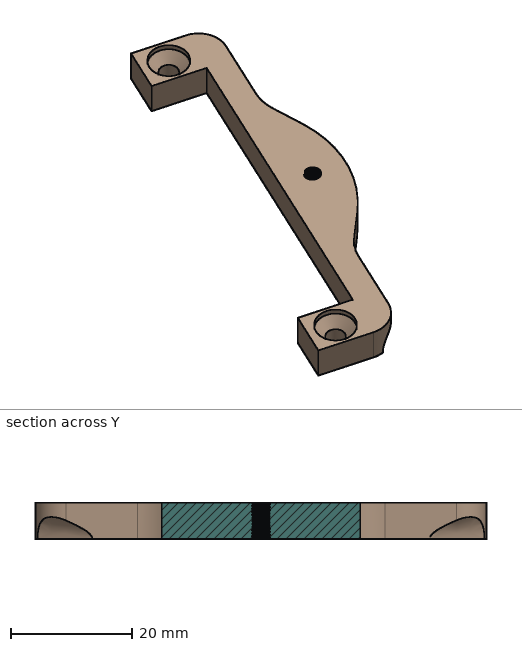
import cadquery as cq
import math

length = 74.4
thickness = 6.0
leg_width = 8.2
leg_length = 10.0
bar_width = 5.0
corner_radius = bar_width

crest_rise = 7.0
crest_radius = 22.0
flare_radius = 8.55
flare_start = 20.4

center_hole_diameter = 2.6
center_hole_below_crest = 6.0
thread_diameter = 3.0
thread_pitch = 0.5
thread_groove_width = 0.4
thread_overlap = 0.1

screw_diameter = 3.4
head_diameter = 7.1
head_recess = 1.0
cone_depth = (head_diameter - screw_diameter) / 2
leg_hole_from_end = 5.0

relief_axis_behind_bar = 2.45
relief_radius = 5.65
relief_slope = 0.34

half_length = length / 2
bar_back = leg_length + bar_width
crest_back = bar_back + crest_rise
leg_hole_x = half_length - leg_width / 2


def arc_point(center, radius, angle):
    """Point on a circle, with the angle measured from +Y toward +X."""
    return (center[0] + radius * math.sin(angle), center[1] + radius * math.cos(angle))


def mirrored(point):
    """Same point on the -X side."""
    return (-point[0], point[1])


def bracket():
    """Flat bracket, symmetric about X = 0, whose back edge swells into a smooth crest."""
    crest_center = (0, crest_back - crest_radius)
    flare_center = (flare_start, bar_back + flare_radius)
    rise = flare_center[1] - crest_center[1]
    centers_angle = math.atan2(flare_start, rise)
    centers_distance = math.hypot(flare_start, rise)
    slope = centers_angle - math.acos((crest_radius + flare_radius) / centers_distance)

    flank_top = arc_point(crest_center, crest_radius, slope)
    flank_bottom = arc_point(flare_center, -flare_radius, slope)
    flare_middle = arc_point(flare_center, -flare_radius, slope / 2)
    flare_end = (flare_start, bar_back)
    corner_center = (half_length - corner_radius, bar_back - corner_radius)
    corner_start = (corner_center[0], bar_back)
    corner_middle = arc_point(corner_center, corner_radius, math.pi / 4)
    corner_end = (half_length, corner_center[1])
    inner_x = half_length - leg_width
    return (
        cq.Workplane("XY")
        .moveTo(-inner_x, leg_length)
        .lineTo(inner_x, leg_length)
        .lineTo(inner_x, 0)
        .lineTo(half_length, 0)
        .lineTo(*corner_end)
        .threePointArc(corner_middle, corner_start)
        .lineTo(*flare_end)
        .threePointArc(flare_middle, flank_bottom)
        .lineTo(*flank_top)
        .threePointArc((0, crest_back), mirrored(flank_top))
        .lineTo(*mirrored(flank_bottom))
        .threePointArc(mirrored(flare_middle), mirrored(flare_end))
        .lineTo(*mirrored(corner_start))
        .threePointArc(mirrored(corner_middle), mirrored(corner_end))
        .lineTo(-half_length, 0)
        .lineTo(-inner_x, 0)
        .close()
        .extrude(thickness)
    )


def thread_groove():
    """V-shaped helical groove around the Z axis, running out past both faces of the bracket."""
    hole_radius = center_hole_diameter / 2
    start_z = -thread_pitch
    helix_height = thickness + 2 * thread_pitch
    helix = cq.Wire.makeHelix(thread_pitch, helix_height, hole_radius, center=cq.Vector(0, 0, start_z))
    half_width = thread_groove_width / 2
    mouth = hole_radius - thread_overlap
    profile = [
        (mouth, start_z - half_width),
        (thread_diameter / 2, start_z),
        (mouth, start_z + half_width),
    ]
    return cq.Workplane("XZ").polyline(profile).close().sweep(cq.Workplane(helix), isFrenet=True)


def cut_threaded_hole(body):
    """Cut the thread groove first and then the plain bore through its middle."""
    position = (0, crest_back - center_hole_below_crest, 0)
    bore = cq.Workplane("XY").circle(center_hole_diameter / 2).extrude(thickness)
    return body.cut(thread_groove().translate(position)).cut(bore.translate(position))


def leg_hole(side):
    """Through hole with a conical seat below a short cylindrical recess."""
    screw_radius = screw_diameter / 2
    head_radius = head_diameter / 2
    seat_top = thickness - head_recess
    profile = [
        (0, 0),
        (screw_radius, 0),
        (screw_radius, seat_top - cone_depth),
        (head_radius, seat_top),
        (head_radius, thickness),
        (0, thickness),
    ]
    return (
        cq.Workplane("XZ")
        .polyline(profile)
        .close()
        .revolve(360, (0, 0, 0), (0, 1, 0))
        .translate((side * leg_hole_x, leg_hole_from_end, 0))
    )


def corner_relief(side):
    """Cone that is widest at the outer end of the bar and tapers toward the middle."""
    cone_length = relief_radius / relief_slope
    base = cq.Vector(side * half_length, bar_back + relief_axis_behind_bar, 0)
    toward_middle = cq.Vector(-side, 0, 0)
    return cq.Workplane(cq.Solid.makeCone(relief_radius, 0, cone_length, base, toward_middle))


result = cut_threaded_hole(bracket())
for side in (-1, 1):
    result = result.cut(leg_hole(side))
    result = result.cut(corner_relief(side))
result = result.solids()